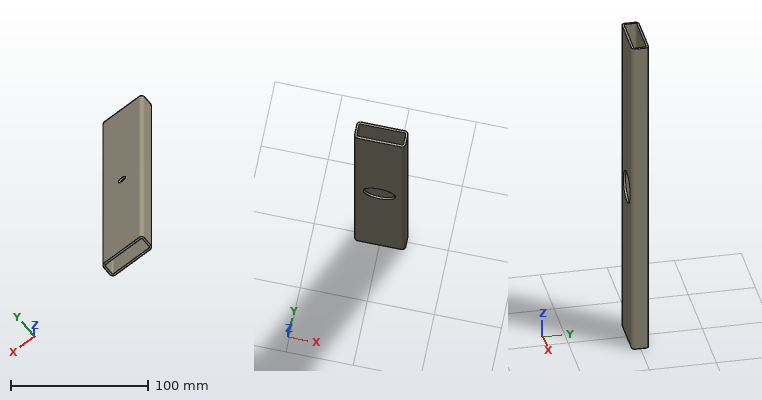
import cadquery as cq

width = 38.0
depth = 12.7
length = 254.0
wall = 1.65
outer_radius = 2.8
inner_radius = outer_radius - wall

access_diameter = 24.0
screw_diameter = 6.5


def rounded_bar(size_x, size_y, corner_radius):
    """Full-length bar, centred on the origin, with rounded lengthwise edges."""
    return cq.Workplane("XY").box(size_x, size_y, length).edges("|Z").fillet(corner_radius)


def wall_cutter(diameter, side):
    """Cylinder from the tube's middle plane out through the wall on the given Y side."""
    return cq.Workplane("XZ").circle(diameter / 2).extrude(-side * depth)


tube = rounded_bar(width, depth, outer_radius).cut(
    rounded_bar(width - 2 * wall, depth - 2 * wall, inner_radius)
)

result = tube.cut(wall_cutter(access_diameter, -1)).cut(wall_cutter(screw_diameter, 1))